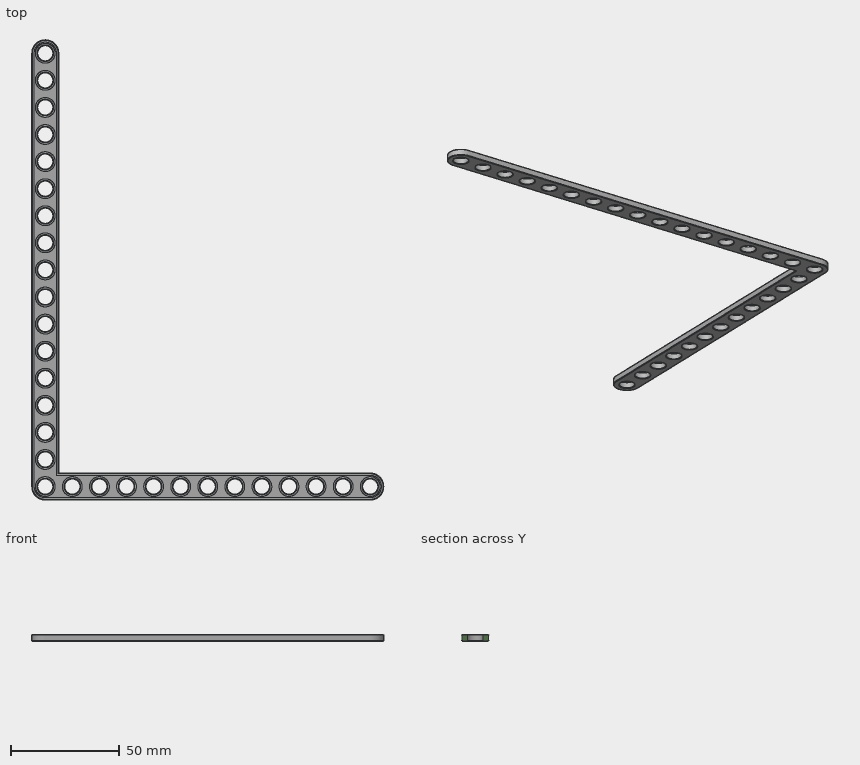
import cadquery as cq

LONG_ARM_HOLES = 17
SHORT_ARM_HOLES = 13
LONG_ARM_LENGTH = 212.5
HOLE_DIAMETER = 7.0
COLLAR_DIAMETER = 9.1
RIM_WIDTH = 1.1
POCKET_DEPTH = 0.2
CHAMFER = 0.3

PITCH = LONG_ARM_LENGTH / LONG_ARM_HOLES
ARM_WIDTH = PITCH
THICKNESS = PITCH / 4
LONG_REACH = (LONG_ARM_HOLES - 1) * PITCH
SHORT_REACH = (SHORT_ARM_HOLES - 1) * PITCH

short_arm_centres = [(i * PITCH, 0) for i in range(SHORT_ARM_HOLES)]
long_arm_centres = [(0, i * PITCH) for i in range(1, LONG_ARM_HOLES)]
hole_centres = short_arm_centres + long_arm_centres


def arm(reach, width, angle):
    """Round-ended bar from the corner hole to a hole `reach` away, turned about Z by `angle`."""
    bar = cq.Workplane("XY").center(reach / 2, 0).slot2D(reach + width, width).extrude(THICKNESS)
    return bar.rotate((0, 0, 0), (0, 0, 1), angle)


def angle_shape(width):
    """L-shaped solid with arms of the given width along +X and +Y."""
    return arm(SHORT_REACH, width, 0).union(arm(LONG_REACH, width, 90)).clean()


def cylinders(diameter):
    """Full-height cylinders, one at every hole centre."""
    return cq.Workplane("XY").pushPoints(hole_centres).circle(diameter / 2).extrude(THICKNESS)


plate = angle_shape(ARM_WIDTH).cut(cylinders(HOLE_DIAMETER))
plate = plate.faces("|Z").edges().chamfer(CHAMFER)

pocket = angle_shape(ARM_WIDTH - 2 * RIM_WIDTH).cut(cylinders(COLLAR_DIAMETER))
pocket = pocket.translate((0, 0, THICKNESS - POCKET_DEPTH))

result = plate.cut(pocket)